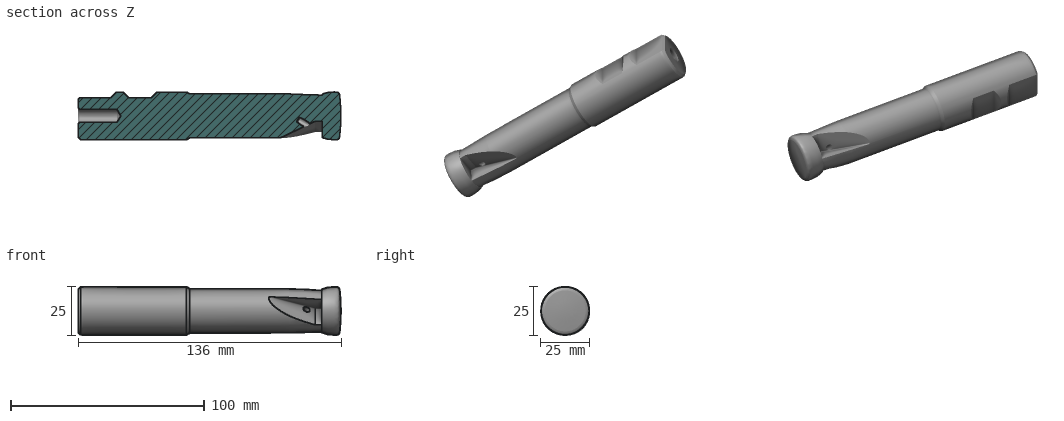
import cadquery as cq
import math

total_length = 135.98
head_start = 126.0
taper_start = 109.0
shank_length = 56.0

shank_radius = 25.0 / 2
body_radius = 23.0 / 2
neck_end_radius = 10.9
shank_shoulder_angle = 30.0

end_face_radius = 11.25
end_chamfer_length = 1.3
end_relief_radius = 12.4
end_relief_length = 2.4

flat_height = 9.65
first_flat_end = 17.0
second_flat_start = 26.0
second_flat_end = 38.0
flat_end_chamfer = 1.0

centre_hole_diameter = 6.5
centre_hole_mouth_diameter = 8.0
centre_hole_depth = 20.0
drill_point_angle = 118.0

head_radius = 25.03 / 2
head_back_radius = 11.25
head_back_angle = 24.0
head_crown = 132.8
head_rim_end = 134.7
head_rim_end_radius = 12.1
nose_shoulder_radius = 10.6
nose_shoulder_setback = 0.6

flute_count = 3
flute_wall_angle = 25.0
flute_tip = 98.6
flute_floor_bend = 122.6
flute_floor_height = 2.35
flute_twist = 2.7
flute_wall_offset = 0.4
flute_corner_radius = 0.5
flute_floor_tilt = 1.8

outlet_diameter = 3.0
outlet_position = 118.1
outlet_wall_distance = 1.5
outlet_axis_angle = 35.0
outlet_lead = 1.2
outlet_depth = 5.0


def make_body():
    """Shank, body and tapered neck as one revolved profile."""
    shoulder_length = (shank_radius - body_radius) / math.tan(math.radians(shank_shoulder_angle))
    return (
        cq.Workplane("XY")
        .moveTo(0, 0)
        .lineTo(0, end_face_radius)
        .lineTo(end_chamfer_length, end_relief_radius)
        .lineTo(end_relief_length, shank_radius)
        .lineTo(shank_length, shank_radius)
        .lineTo(shank_length + shoulder_length, body_radius)
        .lineTo(taper_start, body_radius)
        .lineTo(head_start, neck_end_radius)
        .lineTo(head_start, 0)
        .close()
        .revolve(360, (0, 0, 0), (1, 0, 0))
    )


def make_head():
    """Crowned rim running smoothly into a domed nose, revolved about the X axis."""
    nose_shoulder = total_length - nose_shoulder_setback
    dome_radius = (nose_shoulder_radius**2 + nose_shoulder_setback**2) / (2 * nose_shoulder_setback)
    dome_angle = math.asin(nose_shoulder_radius / dome_radius)
    dome_middle = (
        total_length - dome_radius * (1 - math.cos(dome_angle / 2)),
        dome_radius * math.sin(dome_angle / 2),
    )
    rim_points = [
        (head_crown, head_radius),
        (head_rim_end, head_rim_end_radius),
        (nose_shoulder, nose_shoulder_radius),
    ]
    rim_tangents = [
        (1, math.tan(math.radians(head_back_angle))),
        (1, 0),
        (1, -1),
        (math.sin(dome_angle), -math.cos(dome_angle)),
    ]
    return (
        cq.Workplane("XY")
        .moveTo(head_start, 0)
        .lineTo(head_start, head_back_radius)
        .spline(rim_points, tangents=rim_tangents, includeCurrent=True)
        .threePointArc(dome_middle, (total_length, 0))
        .close()
        .revolve(360, (0, 0, 0), (1, 0, 0))
    )


def flats_cutter():
    """Two flats with 45 degree flanks, and the chamfer where the first meets the end face."""
    depth = shank_radius - flat_height
    return (
        cq.Workplane("XY")
        .moveTo(0, shank_radius)
        .lineTo(0, flat_height - flat_end_chamfer)
        .lineTo(flat_end_chamfer, flat_height)
        .lineTo(first_flat_end, flat_height)
        .lineTo(first_flat_end + depth, shank_radius)
        .close()
        .moveTo(second_flat_start - depth, shank_radius)
        .lineTo(second_flat_start, flat_height)
        .lineTo(second_flat_end, flat_height)
        .lineTo(second_flat_end + depth, shank_radius)
        .close()
        .extrude(shank_radius, both=True)
    )


def centre_hole_cutter():
    """Blind drilled hole with a drill point and a 45 degree mouth chamfer."""
    radius = centre_hole_diameter / 2
    mouth_radius = centre_hole_mouth_diameter / 2
    point_length = radius / math.tan(math.radians(drill_point_angle / 2))
    return (
        cq.Workplane("XY")
        .lineTo(0, mouth_radius)
        .lineTo(mouth_radius - radius, radius)
        .lineTo(centre_hole_depth, radius)
        .lineTo(centre_hole_depth + point_length, 0)
        .close()
        .revolve(360, (0, 0, 0), (1, 0, 0))
    )


def flute_cutter():
    """One flute with its blind outlet hole.

    Before the last turn about X, the floor faces +Y and the nearly radial wall faces +Z.
    The floor ramps down to a bend and then runs level to the head. The pocket is turned so
    that its wall lies flat at Z = 0 while the corner is filleted, then turned back.
    """
    clear = 2 * body_radius
    pivot = (head_start, 0, 0)
    pivot_end = (head_start, 1, 0)
    slope = (body_radius - flute_floor_height) / (flute_floor_bend - flute_tip)
    run_out = flute_floor_bend - (clear - flute_floor_height) / slope
    pocket = (
        cq.Workplane("XY")
        .moveTo(run_out, clear)
        .lineTo(flute_floor_bend, flute_floor_height)
        .lineTo(head_start + clear, flute_floor_height)
        .lineTo(head_start + clear, clear)
        .close()
        .extrude(clear, both=True)
        .rotate((0, flute_floor_height, 0), (1, flute_floor_height, 0), -flute_floor_tilt)
        .rotate(pivot, pivot_end, flute_twist)
    )
    wall_side = (
        cq.Workplane("XY")
        .rect(4 * total_length, 4 * clear)
        .extrude(2 * clear)
    )
    pocket = pocket.intersect(wall_side)
    pocket = pocket.faces("<Z").edges("not(>X or >Y)").fillet(flute_corner_radius)
    outlet_height = flute_floor_height + slope * (flute_floor_bend - outlet_position)
    outlet = (
        cq.Workplane("XZ", origin=(0, outlet_lead, 0))
        .circle(outlet_diameter / 2)
        .extrude(outlet_lead + outlet_depth)
        .rotate((0, 0, 0), (0, 0, 1), outlet_axis_angle - 90)
        .translate((outlet_position, outlet_height, outlet_wall_distance))
    )
    return (
        pocket.rotate(pivot, pivot_end, -flute_twist)
        .union(outlet)
        .translate((0, 0, flute_wall_offset))
        .rotate((0, 0, 0), (1, 0, 0), flute_wall_angle)
    )


body = make_body().cut(flats_cutter()).cut(centre_hole_cutter())
for index in range(flute_count):
    body = body.cut(flute_cutter().rotate((0, 0, 0), (1, 0, 0), index * 360 / flute_count))

result = body.union(make_head())